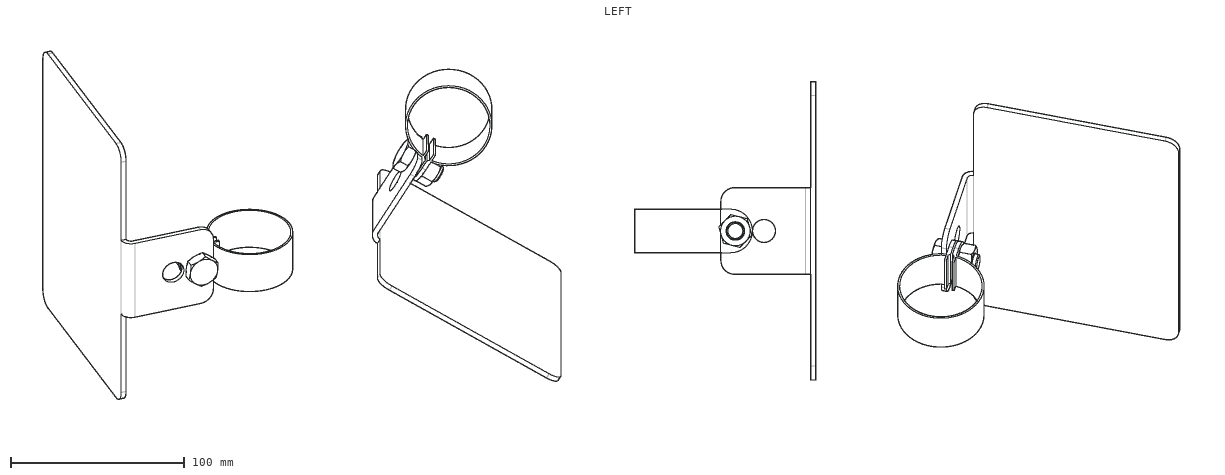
import cadquery as cq
import math

plate_width = 122.0
plate_height = 172.0
sheet = 3.1
bend_inner_radius = 3.0
corner_radius = 8.0
flange_length = 54.9
flange_height = 50.0
spare_hole_diameter = 13.0
spare_hole_y = 30.0

ring_radius = 25.0
strap = 1.2
clamp_height = 25.1
ear_thickness = 2.4
overall_depth = 104.5
tab_top_y = 59.9
ear_shoulder_y = 55.5
ear_end_y = 36.6
tab_corner_radius = 0.5

bolt_diameter = 10.0
bolt_y = 46.5
bolt_tip_chamfer = 0.7
bolt_tip_reach = 14.0
hex_sides = 6
hex_across_flats = 17.0
head_thickness = 6.4
nut_thickness = 8.3
nut_countersink = 0.3
head_turn = 7.5
nut_turn = 15.7
hex_chamfer_angle = 30.0

bend_outer_radius = bend_inner_radius + sheet
flange_outer_x = plate_width + bend_outer_radius
flange_inner_x = flange_outer_x - sheet
ring_x = plate_width
ring_y = overall_depth - ring_radius
ear_outer_offset = flange_inner_x - ring_x
ear_inner_offset = ear_outer_offset - ear_thickness
nut_seat_x = ring_x - ear_outer_offset
bolt_tip_x = ring_x - bolt_tip_reach


def rod_along_x(x_start, x_end, y, diameter):
    """Cylinder along X, centred at the given Y and at mid height."""
    return (
        cq.Workplane("YZ", origin=(x_start, y, 0))
        .circle(diameter / 2)
        .extrude(x_end - x_start)
    )


def make_bracket():
    plate = (
        cq.Workplane("XZ")
        .center(plate_width / 2, 0)
        .rect(plate_width, plate_height)
        .extrude(-sheet)
        .edges("|Y")
        .fillet(corner_radius)
    )
    bend_and_flange = (
        cq.Workplane("XY", origin=(0, 0, -flange_height / 2))
        .moveTo(plate_width - corner_radius, 0)
        .lineTo(plate_width, 0)
        .radiusArc((flange_outer_x, bend_outer_radius), -bend_outer_radius)
        .lineTo(flange_outer_x, flange_length)
        .lineTo(flange_inner_x, flange_length)
        .lineTo(flange_inner_x, bend_outer_radius)
        .radiusArc((plate_width, sheet), bend_inner_radius)
        .lineTo(plate_width - corner_radius, sheet)
        .close()
        .extrude(flange_height)
        .edges("|X and >Y")
        .fillet(corner_radius)
    )
    bracket = plate.union(bend_and_flange)
    for y, diameter in ((bolt_y, bolt_diameter), (spare_hole_y, spare_hole_diameter)):
        bracket = bracket.cut(rod_along_x(flange_inner_x, flange_outer_x, y, diameter))
    return bracket


def ring_cylinder(radius):
    """Cylinder over the clamp height, on the ring axis."""
    return (
        cq.Workplane("XY", origin=(ring_x, ring_y, -clamp_height / 2))
        .circle(radius)
        .extrude(clamp_height)
    )


def block_across_ears(y_start):
    """Block as wide as both ears, running from the given Y one ring radius toward +Y."""
    return (
        cq.Workplane("XY")
        .box(2 * ear_outer_offset, ring_radius, clamp_height, centered=(True, False, True))
        .translate((ring_x, y_start, 0))
    )


def make_ear(side):
    """Ear on the +X (side = 1) or -X (side = -1) end of the ring, with its tab inside the ring."""
    outer_x = ring_x + side * ear_outer_offset
    inner_x = ring_x + side * ear_inner_offset
    tab_inner_x = outer_x - side * strap
    shoulder_drop = ear_thickness - strap
    ear = (
        cq.Workplane("XY", origin=(0, 0, -clamp_height / 2))
        .moveTo(outer_x, ear_end_y)
        .lineTo(outer_x, tab_top_y)
        .lineTo(tab_inner_x, tab_top_y)
        .lineTo(tab_inner_x, ear_shoulder_y)
        .lineTo(inner_x, ear_shoulder_y - shoulder_drop)
        .lineTo(inner_x, ear_end_y)
        .close()
        .extrude(clamp_height)
        .edges("|X and >Y")
        .fillet(tab_corner_radius)
    )
    round_center_y = ear_end_y + clamp_height / 2
    rounded_end = rod_along_x(nut_seat_x, flange_inner_x, round_center_y, clamp_height)
    straight_part = block_across_ears(round_center_y)
    return ear.intersect(rounded_end.union(straight_part))


def make_clamp():
    ring = ring_cylinder(ring_radius).cut(ring_cylinder(ring_radius - strap))
    clamp = ring.cut(block_across_ears(ring_y - ring_radius))
    for side in (-1, 1):
        clamp = clamp.union(make_ear(side))
    return clamp.cut(rod_along_x(nut_seat_x, flange_inner_x, bolt_y, bolt_diameter))


def make_hex(x_start, thickness, turn):
    """Hexagonal block along X with its corners chamfered at both ends."""
    corner_circle = hex_across_flats / math.cos(math.pi / hex_sides)
    chamfer_radial = (corner_circle - hex_across_flats) / 2
    chamfer_axial = chamfer_radial * math.tan(math.radians(hex_chamfer_angle))
    block = (
        cq.Workplane("YZ", origin=(x_start, bolt_y, 0))
        .transformed(rotate=(0, 0, 90 - turn))
        .polygon(hex_sides, corner_circle)
        .extrude(thickness)
    )
    envelope = (
        cq.Workplane("XY", origin=(x_start, bolt_y, 0))
        .moveTo(0, 0)
        .lineTo(0, hex_across_flats / 2)
        .lineTo(chamfer_axial, corner_circle / 2)
        .lineTo(thickness - chamfer_axial, corner_circle / 2)
        .lineTo(thickness, hex_across_flats / 2)
        .lineTo(thickness, 0)
        .close()
        .revolve(360, (0, 0, 0), (1, 0, 0))
    )
    return block.intersect(envelope).cut(ring_cylinder(ring_radius))


def make_bolt():
    shank = (
        rod_along_x(bolt_tip_x, flange_outer_x, bolt_y, bolt_diameter)
        .faces("<X")
        .chamfer(bolt_tip_chamfer)
    )
    return shank.union(make_hex(flange_outer_x, head_thickness, head_turn))


def make_nut():
    nut_end_x = nut_seat_x - nut_thickness
    nut = make_hex(nut_end_x, nut_thickness, nut_turn)
    nut = nut.cut(rod_along_x(nut_end_x, nut_seat_x, bolt_y, bolt_diameter))
    bore_rims = cq.selectors.RadiusNthSelector(0)
    return nut.edges("%CIRCLE").edges(bore_rims).chamfer(nut_countersink)


bracket = make_bracket()
clamp = make_clamp()
bolt = make_bolt()
nut = make_nut()

result = cq.Compound.makeCompound([bracket.val(), clamp.val(), bolt.val(), nut.val()])